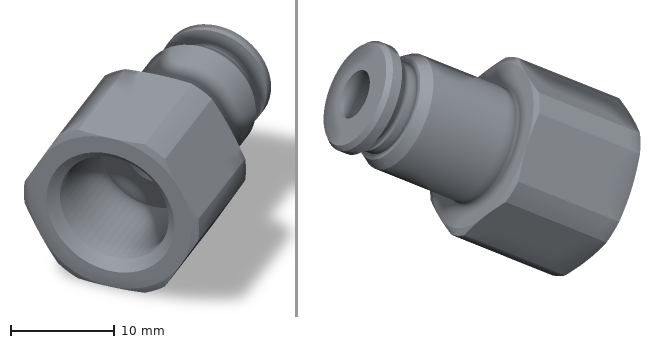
import cadquery as cq
import math

TOTAL_LENGTH = 27.7
HEX_LENGTH = 12.5

HEX_SIDES = 6
HEX_ACROSS_FLATS = 17.0
HEX_CORNER_RADIUS = 9.19
HEX_END_RADIUS = HEX_ACROSS_FLATS / 2
HEX_END_ANGLE = 20.0

BODY_RADIUS = 5.975
BODY_END = TOTAL_LENGTH - 4.0
BODY_CHAMFER_LENGTH = 1.1
BODY_CHAMFER_RADIAL = 0.65
BODY_ROOT_FILLET = 0.3

STEP_RADIUS = 4.77
STEP_LENGTH = 1.0
NECK_RADIUS = 3.9
NECK_FILLET = 0.3
COLLAR_RADIUS = 5.67
COLLAR_LENGTH = 1.6
COLLAR_CHAMFER_LENGTH = 0.5
COLLAR_CHAMFER_RADIAL = 0.4

BORE_RADIUS = 5.7
BORE_DEPTH = 11.0
MOUTH_RADIUS = 6.7
HOLE_RADIUS = 2.5
HOLE_CHAMFER = 0.3


def revolve_about_y(profile):
    """Turn a closed (radius, Y) profile a full turn about the Y axis."""
    return profile.close().revolve(360, (0, 0, 0), (0, 1, 0))


def make_hexagon():
    """Hexagonal prism, flats up and down, with its corners turned and its ends bevelled."""
    across_corners = HEX_ACROSS_FLATS / math.cos(math.pi / HEX_SIDES)
    prism = cq.Workplane("XZ").polygon(HEX_SIDES, across_corners).extrude(-HEX_LENGTH)
    bevel_length = (HEX_CORNER_RADIUS - HEX_END_RADIUS) * math.tan(math.radians(HEX_END_ANGLE))
    turned_blank = revolve_about_y(
        cq.Workplane("XY")
        .moveTo(0, 0)
        .lineTo(HEX_END_RADIUS, 0)
        .lineTo(HEX_CORNER_RADIUS, bevel_length)
        .lineTo(HEX_CORNER_RADIUS, HEX_LENGTH - bevel_length)
        .lineTo(HEX_END_RADIUS, HEX_LENGTH)
        .lineTo(0, HEX_LENGTH)
    )
    return prism.intersect(turned_blank)


def make_shank():
    """Body, step, neck and collar as one turned piece starting on the hexagon's rear face."""
    step_end = BODY_END + STEP_LENGTH
    collar_start = TOTAL_LENGTH - COLLAR_LENGTH
    return revolve_about_y(
        cq.Workplane("XY")
        .moveTo(0, HEX_LENGTH)
        .lineTo(BODY_RADIUS + BODY_ROOT_FILLET, HEX_LENGTH)
        .radiusArc((BODY_RADIUS, HEX_LENGTH + BODY_ROOT_FILLET), BODY_ROOT_FILLET)
        .lineTo(BODY_RADIUS, BODY_END - BODY_CHAMFER_LENGTH)
        .lineTo(BODY_RADIUS - BODY_CHAMFER_RADIAL, BODY_END)
        .lineTo(STEP_RADIUS, BODY_END)
        .lineTo(STEP_RADIUS, step_end)
        .lineTo(NECK_RADIUS, step_end)
        .lineTo(NECK_RADIUS, collar_start - NECK_FILLET)
        .radiusArc((NECK_RADIUS + NECK_FILLET, collar_start), NECK_FILLET)
        .lineTo(COLLAR_RADIUS, collar_start)
        .lineTo(COLLAR_RADIUS, TOTAL_LENGTH - COLLAR_CHAMFER_LENGTH)
        .lineTo(COLLAR_RADIUS - COLLAR_CHAMFER_RADIAL, TOTAL_LENGTH)
        .lineTo(0, TOTAL_LENGTH)
    )


def make_cavity():
    """Countersunk mouth bore with a chamfered hole running on through the far end."""
    mouth_chamfer = MOUTH_RADIUS - BORE_RADIUS
    return revolve_about_y(
        cq.Workplane("XY")
        .moveTo(0, 0)
        .lineTo(MOUTH_RADIUS, 0)
        .lineTo(BORE_RADIUS, mouth_chamfer)
        .lineTo(BORE_RADIUS, BORE_DEPTH)
        .lineTo(HOLE_RADIUS + HOLE_CHAMFER, BORE_DEPTH)
        .lineTo(HOLE_RADIUS, BORE_DEPTH + HOLE_CHAMFER)
        .lineTo(HOLE_RADIUS, TOTAL_LENGTH)
        .lineTo(0, TOTAL_LENGTH)
    )


result = make_hexagon().union(make_shank()).cut(make_cavity())